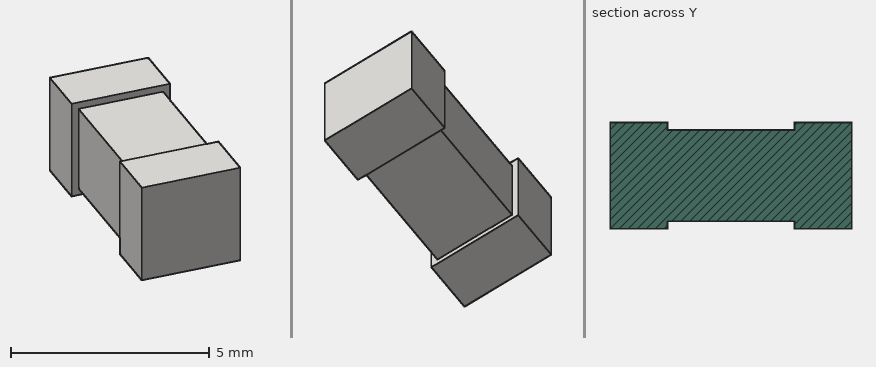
import cadquery as cq

overall_length = 6.1
cap_side = 2.69
cap_length = 1.45
cap_step = 0.19

body_side = cap_side - 2 * cap_step
cap_center_x = (overall_length - cap_length) / 2


def make_body():
    """Square bar between the end caps, running to the middle of each cap so they fuse."""
    return cq.Workplane("XY").box(2 * cap_center_x, body_side, body_side)


def make_end_cap(center_x):
    """Square terminal block, larger than the body on all four sides."""
    return cq.Workplane("XY").box(cap_length, cap_side, cap_side).translate((center_x, 0, 0))


result = make_body()
for side in (-1, 1):
    result = result.union(make_end_cap(side * cap_center_x))